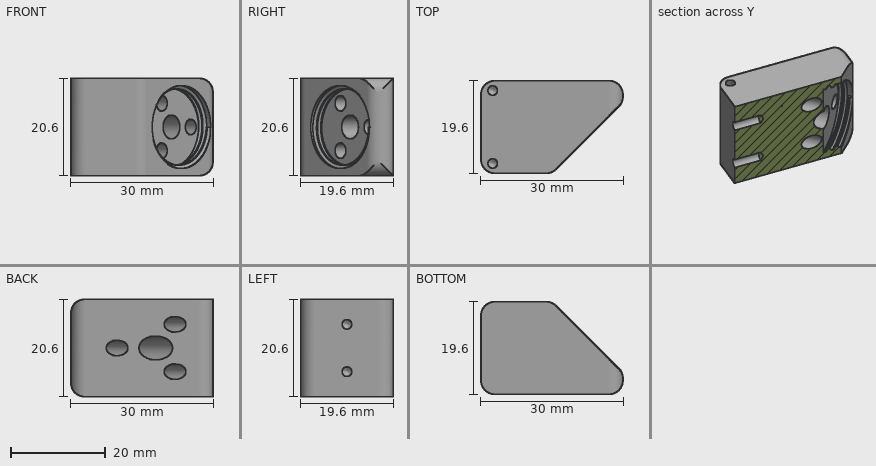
import cadquery as cq
import math

length = 30.0
width = 19.6
height = 20.6
corner_radius = 3.0
slope_start = 15.0
mid_height = height / 2

pocket_x = 23.35
pocket_depth = 3.0
pocket_diameter = 17.5
thread_pitch = 1.25
thread_turns = 3
thread_height = 0.54 * thread_pitch
crest_width = thread_pitch / 4
thread_half_angle = 30.0
root_overlap = 0.03
centre_hole_diameter = 5.0
bolt_hole_diameter = 3.25
bolt_circle_radius = 5.75
bolt_count = 3

top_hole_diameter = 2.0
top_hole_x = 2.5
top_hole_edge_distance = 2.1
side_hole_diameter = 2.0
side_hole_spacing = 10.0
drill_depth = 6.0
drill_point_angle = 118.0


def make_body():
    """Block with one sloping face, rounded in plan and at its +X end."""
    plan = (
        cq.Workplane("XY")
        .polyline([
            (0, 0),
            (slope_start, 0),
            (length, length - slope_start),
            (length, width),
            (0, width),
        ])
        .close()
        .extrude(height)
        .edges("|Z")
        .fillet(corner_radius)
    )
    rounded_end = (
        cq.Workplane("XY")
        .box(length, width, height, centered=False)
        .edges("|Y and >X")
        .fillet(corner_radius)
    )
    return plan.intersect(rounded_end)


def make_thread_ridge():
    """Right-hand ridge around the Z axis, running from its end at Z = 0 down."""
    pocket_radius = pocket_diameter / 2
    crest_radius = pocket_radius - thread_height
    base_radius = pocket_radius + root_overlap
    slope = math.tan(math.radians(thread_half_angle))
    half_crest = crest_width / 2
    half_base = half_crest + (base_radius - crest_radius) * slope
    centre_z = -(half_crest + thread_height * slope)
    ridge_length = thread_turns * thread_pitch
    helix = cq.Wire.makeHelix(thread_pitch, ridge_length, pocket_radius)
    ridge = (
        cq.Workplane("XZ")
        .polyline([
            (base_radius, -half_base),
            (crest_radius, -half_crest),
            (crest_radius, half_crest),
            (base_radius, half_base),
        ])
        .close()
        .sweep(cq.Workplane(obj=helix), isFrenet=True)
    )
    return ridge.translate((0, 0, centre_z - ridge_length))


def cut_pocket(body):
    """Cut the threaded pocket and the through holes in its floor."""
    face_plane = cq.Plane(
        origin=(pocket_x, pocket_x - slope_start, mid_height),
        xDir=(1, 1, 0),
        normal=(1, -1, 0),
    )
    face = cq.Workplane(face_plane)
    pocket = cq.Workplane("XY").circle(pocket_diameter / 2).extrude(-pocket_depth)
    pocket = pocket.cut(make_thread_ridge())
    body = body.cut(cq.Workplane(obj=pocket.val().moved(cq.Location(face_plane))))

    through = length + width
    centre_hole = face.circle(centre_hole_diameter / 2).extrude(-through)
    bolt_holes = (
        face.polarArray(bolt_circle_radius, 0, 360, bolt_count)
        .circle(bolt_hole_diameter / 2)
        .extrude(-through)
    )
    return body.cut(centre_hole).cut(bolt_holes)


def drilled_hole(diameter, position, direction):
    """Blind hole with a conical drill point, starting at position."""
    radius = diameter / 2
    point_length = radius / math.tan(math.radians(drill_point_angle / 2))
    start = cq.Vector(*position)
    axis = cq.Vector(*direction)
    bore = cq.Solid.makeCylinder(radius, drill_depth, start, axis)
    point = cq.Solid.makeCone(radius, 0, point_length, start + axis * drill_depth, axis)
    return bore.fuse(point)


result = cut_pocket(make_body())

for hole_y in (top_hole_edge_distance, width - top_hole_edge_distance):
    result = result.cut(drilled_hole(top_hole_diameter, (top_hole_x, hole_y, height), (0, 0, -1)))

for side in (-1, 1):
    hole_z = mid_height + side * side_hole_spacing / 2
    result = result.cut(drilled_hole(side_hole_diameter, (0, width / 2, hole_z), (1, 0, 0)))